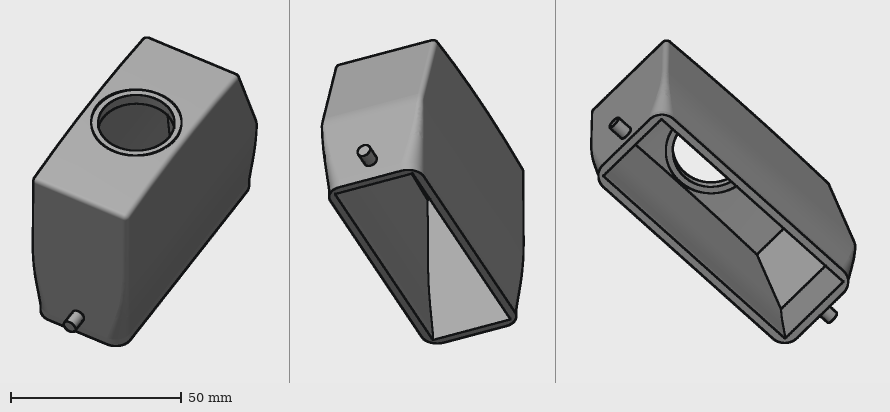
import cadquery as cq
import math

rim_height = 2.7
bend_start_z = 12.5
bend_end_z = 29.0
half_width = 16.25
flank_lean = math.radians(4.3)
bend_section_count = 5

rim_half_length = 39.5
end_draft = math.radians(0.8)
slope_foot_z = 26.3
slope_angle = math.radians(20.0)
slope_bend_radius = 12.0

total_height = 58.5
roof_radius = 300.0
roof_peak_y = -5.0
corner_refinements = 20

rim_corner_radius = 5.0
edge_radius = 1.5

wall = 2.5
roof_wall = 4.0

ring_diameter = 26.6
bore_diameter = 22.5
ring_y = roof_peak_y
ring_top_z = 58.1
ring_height = 3.75
pin_diameter = 4.0
pin_z = 7.0
pin_tip_y = 44.5

bend_radius = (bend_end_z - bend_start_z) / math.sin(flank_lean)
bend_start_half_width = half_width - bend_radius * (1 - math.cos(flank_lean))
rim_half_width = bend_start_half_width - (bend_start_z - rim_height) * math.tan(flank_lean)
roof_centre_z = total_height - roof_radius


def bend_half_width(z):
    """Half of the X width at height z within the bend."""
    return half_width - bend_radius + math.sqrt(bend_radius**2 - (bend_end_z - z) ** 2)


def half_length(z):
    """Half of the Y length between the drafted ends at height z."""
    return rim_half_length - (z - rim_height) * math.tan(end_draft)


def outline(z, outline_half_width):
    """Rounded rectangle at height z; its corners tighten as the flanks spread."""
    narrowing = (half_width - outline_half_width) / (half_width - rim_half_width)
    radius = edge_radius + (rim_corner_radius - edge_radius) * narrowing
    rectangle = (
        cq.Workplane("XY")
        .workplane(offset=z)
        .rect(2 * outline_half_width, 2 * half_length(z))
        .wires()
        .val()
    )
    return rectangle.fillet2D(radius, rectangle.Vertices())


def end_profile_block(inset, roof_inset):
    """Full-width block of the YZ outline, with its ends and roof moved inwards by the insets."""
    radius = roof_radius - roof_inset

    def roof_z(y):
        return roof_centre_z + math.sqrt(radius**2 - (y - roof_peak_y) ** 2)

    foot_z = slope_foot_z - inset * math.tan(slope_angle / 2)
    foot_y = half_length(foot_z) - inset
    bottom_y = half_length(0) - inset

    slope_top_y = foot_y
    end_top_y = -foot_y
    for _ in range(corner_refinements):
        slope_top_y = foot_y - (roof_z(slope_top_y) - foot_z) * math.tan(slope_angle)
        end_top_y = inset - half_length(roof_z(end_top_y))

    return (
        cq.Workplane("YZ")
        .moveTo(-bottom_y, 0)
        .lineTo(bottom_y, 0)
        .lineTo(foot_y, foot_z)
        .lineTo(slope_top_y, roof_z(slope_top_y))
        .threePointArc((roof_peak_y, roof_z(roof_peak_y)), (end_top_y, roof_z(end_top_y)))
        .close()
        .extrude(half_width, both=True)
    )


def rounded_block():
    """End profile block with the slope bend and the upper edges rounded."""
    slope_foot = (0, half_length(slope_foot_z), slope_foot_z)
    block = end_profile_block(0, 0)
    block = block.edges(cq.selectors.NearestToPointSelector(slope_foot)).fillet(slope_bend_radius)
    block = block.edges("|X").edges(">Z or >>Z[-2]").fillet(edge_radius)
    return block.faces("<X or >X").edges("not <Z").fillet(edge_radius)


def hood_body():
    """Solid hood: rim, leaning flats, bend and the rounded upper part."""
    block = rounded_block()
    rim_outline = outline(rim_height, rim_half_width)
    bend_step = (bend_end_z - bend_start_z) / (bend_section_count - 1)
    bend_heights = [bend_start_z + i * bend_step for i in range(bend_section_count)]
    bend_outlines = [outline(z, bend_half_width(z)) for z in bend_heights]

    rim = cq.Workplane(cq.Solid.extrudeLinear(rim_outline, [], cq.Vector(0, 0, -rim_height)))
    leaning = cq.Workplane(cq.Solid.makeLoft([rim_outline, bend_outlines[0]], True))
    bend = cq.Workplane(cq.Solid.makeLoft(bend_outlines)).intersect(block)
    upper = block.intersect(
        cq.Workplane("XY")
        .workplane(offset=bend_end_z)
        .rect(4 * half_width, 4 * rim_half_length)
        .extrude(total_height)
    )
    return rim.union(leaning).union(bend).union(upper)


def cavity():
    """Hollow open at the bottom, following the flanks, ends and roof at the wall thickness."""
    bend_middle_z = (bend_start_z + bend_end_z) / 2
    half_hollow = (
        cq.Workplane("XZ")
        .moveTo(0, 0)
        .lineTo(rim_half_width - wall, 0)
        .lineTo(rim_half_width - wall, rim_height)
        .lineTo(bend_start_half_width - wall, bend_start_z)
        .threePointArc(
            (bend_half_width(bend_middle_z) - wall, bend_middle_z),
            (half_width - wall, bend_end_z),
        )
        .lineTo(half_width - wall, total_height)
        .lineTo(0, total_height)
        .close()
        .extrude(rim_half_length, both=True)
    )
    across = half_hollow.union(half_hollow.mirror("YZ"))
    return across.intersect(end_profile_block(wall, roof_wall))


def pin(side):
    """Locking pin standing out of the end on the given Y side, rooted in the end wall."""
    root_y = half_length(pin_z) - wall / 2
    return (
        cq.Workplane("XZ", origin=(0, side * root_y, pin_z))
        .circle(pin_diameter / 2)
        .extrude(-side * (pin_tip_y - root_y))
    )


def cable_opening():
    """Round opening through the crowned roof, on the cable entry axis."""
    opening = cq.Workplane("XY").workplane(offset=bend_end_z).center(0, ring_y)
    return opening.circle(ring_diameter / 2).extrude(total_height - bend_end_z)


def cable_ring():
    """Flat entry ring filling the roof opening, its top just below the crown."""
    return (
        cq.Workplane("XY", origin=(0, ring_y, ring_top_z))
        .circle(ring_diameter / 2)
        .circle(bore_diameter / 2)
        .extrude(-ring_height)
    )


hood = hood_body().cut(cavity()).cut(cable_opening())
for side in (-1, 1):
    hood = hood.union(pin(side))

entry_ring = cable_ring()

result = cq.Compound.makeCompound([hood.solids().val(), entry_ring.solids().val()])